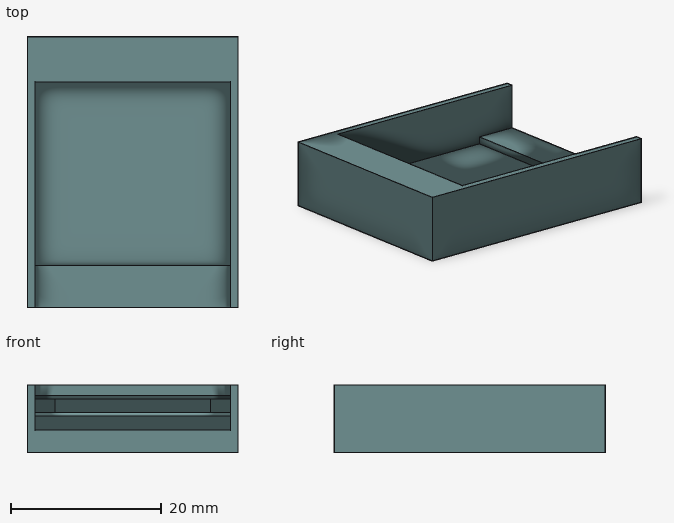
import cadquery as cq

width = 28.0
length = 36.0
height = 9.0

wall = 1.0
floor_thickness = 2.0
front_lip_length = 5.6
front_lip_height = 3.0
rear_block_length = 6.0

slot_bottom = 5.33
slot_top = 7.1
mouth_chamfer = 0.5
slot_straight = 1.25
slot_taper = 2.7

inner_width = width - 2 * wall
half_inner = inner_width / 2
rear_face = length - rear_block_length


def inner_width_prism(points):
    """Prism of the inner width from an outline of (Y, Z) points."""
    return cq.Workplane("YZ").polyline(points).close().extrude(half_inner, both=True)


def make_tray_cavity():
    """Stepped space between the side walls, open at the top and front."""
    return inner_width_prism([
        (0, front_lip_height),
        (front_lip_length, front_lip_height),
        (front_lip_length, floor_thickness),
        (rear_face, floor_thickness),
        (rear_face, height),
        (0, height),
    ])


def make_slot():
    """Blind slot whose back corners are cut off at 45 degrees."""
    taper_start = rear_face + slot_straight
    slot_back = taper_start + slot_taper
    half_back = half_inner - slot_taper
    return (
        cq.Workplane("XY")
        .workplane(offset=slot_bottom)
        .polyline([
            (-half_inner, rear_face),
            (half_inner, rear_face),
            (half_inner, taper_start),
            (half_back, slot_back),
            (-half_back, slot_back),
            (-half_inner, taper_start),
        ])
        .close()
        .extrude(slot_top - slot_bottom)
    )


def make_slot_mouth():
    """Lead-in that widens the slot upward and downward at its opening."""
    return inner_width_prism([
        (rear_face, slot_bottom - mouth_chamfer),
        (rear_face + mouth_chamfer, slot_bottom),
        (rear_face + mouth_chamfer, slot_top),
        (rear_face, slot_top + mouth_chamfer),
    ])


block = cq.Workplane("XY").box(width, length, height, centered=(True, False, False))
result = block.cut(make_tray_cavity()).cut(make_slot()).cut(make_slot_mouth())